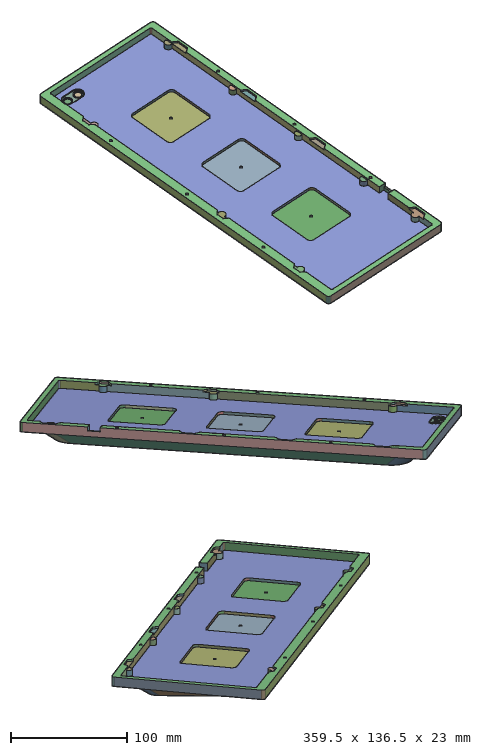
import cadquery as cq

length = 359.5
width = 136.5
plate_thickness = 8.5
plate_corner_radius = 3.0

side_rim = 5.0
back_rim = 7.2
front_rim = 8.5
pocket_depth = 7.2
pocket_corner_radius = 1.5
pocket_length = length - 2 * side_rim
pocket_back = width / 2 - back_rim
pocket_front = -width / 2 + front_rim

total_height = 23.0
wedge_depth = total_height - plate_thickness
wedge_length = 343.0
wedge_back = 60.5
wedge_front = -67.5
wedge_edge_radius = 25.0

pad_size = 50.5
pad_pitch = 87.0
pad_depth = 2.5
pad_corner_radius = 4.3
pad_hole_depth = 3.5
pad_center_y = 0.5

small_hole_diameter = 2.5
rim_hole_pitch = 94.5
rim_hole_y = 64.2

ledge_depth = 1.8
boss_radius = 3.5
back_boss_reach = 4.5
front_boss_reach = 4.0
back_boss_x = [-152.0, -72.0, 9.5, 90.3, 154.3]
front_boss_x = [-120.5, 38.0, 135.5]
back_clip_width = 18.0
back_clip_reach = 4.5
front_clip_width = 14.5
front_clip_reach = 4.0
clip_flank_run = 3.2
back_clip_x = [-140.2, -54.5, 31.0, 154.3]
front_clip_x = [-126.2, 40.3, 135.5]

cable_notch_x = 114.0
cable_notch_width = 11.0
cable_notch_lip = 1.8
cable_notch_lip_drop = 3.5

slot_x = -163.5
slot_y = -43.0
slot_length = 23.0
slot_width = 11.5
slot_depth = 1.0
socket_radius = 4.3
socket_depth = 1.8
socket_bore_radius = 3.2
socket_bore_depth = 2.0
socket_offset = 6.0


def block(x_range, y_range, z_range):
    """Axis-aligned box from its limits along each axis."""
    sizes = [high - low for low, high in (x_range, y_range, z_range)]
    corner = (x_range[0], y_range[0], z_range[0])
    return cq.Workplane("XY").box(*sizes, centered=False).translate(corner)


def cylinders(points, radius, bottom, top):
    """Upright cylinders at the given XY points."""
    base = cq.Workplane("XY", origin=(0, 0, bottom))
    return base.pushPoints(points).circle(radius).extrude(top - bottom)


def make_plate():
    plate = block((-length / 2, length / 2), (-width / 2, width / 2), (-plate_thickness, 0))
    return plate.edges("|Z").fillet(plate_corner_radius)


def make_wedge():
    wedge = (
        cq.Workplane("YZ", origin=(-wedge_length / 2, 0, 0))
        .moveTo(wedge_front, -plate_thickness)
        .lineTo(wedge_back, -plate_thickness)
        .lineTo(wedge_back - wedge_depth, -total_height)
        .close()
        .extrude(wedge_length)
    )
    sides = (
        cq.Workplane("XZ", origin=(0, width / 2, 0))
        .moveTo(-wedge_length / 2, -plate_thickness)
        .lineTo(wedge_length / 2, -plate_thickness)
        .lineTo(wedge_length / 2 - wedge_depth, -total_height)
        .lineTo(-wedge_length / 2 + wedge_depth, -total_height)
        .close()
        .extrude(width)
    )
    wedge = wedge.intersect(sides)
    for side in (-1, 1):
        corner_edge_middle = (
            side * (wedge_length - wedge_depth) / 2,
            wedge_back - wedge_depth / 2,
            -plate_thickness - wedge_depth / 2,
        )
        corner_edge = cq.selectors.NearestToPointSelector(corner_edge_middle)
        wedge = wedge.edges(corner_edge).fillet(wedge_edge_radius)
    return wedge


def make_pocket():
    pocket = block(
        (-pocket_length / 2, pocket_length / 2), (pocket_front, pocket_back), (-pocket_depth, 0)
    )
    return pocket.edges("|Z").fillet(pocket_corner_radius)


def make_bosses():
    back = [(x, pocket_back - back_boss_reach + boss_radius) for x in back_boss_x]
    front = [(x, pocket_front + front_boss_reach - boss_radius) for x in front_boss_x]
    return cylinders(back + front, boss_radius, -pocket_depth, -ledge_depth)


def make_clip_notches(x_places, wall_y, notch_width, reach):
    """Trapezoids cut from a pocket wall into the rim; a negative reach points toward -Y."""
    half_width = notch_width / 2
    outline = [
        (-half_width, 0),
        (-half_width + clip_flank_run, reach),
        (half_width - clip_flank_run, reach),
        (half_width, 0),
    ]
    notches = cq.Workplane("XY")
    for x in x_places:
        base = cq.Workplane("XY", origin=(x, wall_y, -ledge_depth))
        notches = notches.union(base.polyline(outline).close().extrude(ledge_depth))
    return notches


def make_pads():
    floor = cq.Workplane("XY", origin=(0, pad_center_y, -pocket_depth))
    centers = [(i * pad_pitch, 0) for i in (-1, 0, 1)]
    pads = floor.pushPoints(centers).rect(pad_size, pad_size).extrude(-pad_depth)
    pads = pads.edges("|Z").fillet(pad_corner_radius)
    holes = floor.pushPoints(centers).circle(small_hole_diameter / 2)
    return pads.union(holes.extrude(-pad_depth - pad_hole_depth))


def make_rim_holes():
    points = [(i * rim_hole_pitch, side * rim_hole_y) for i in (-1, 0, 1) for side in (-1, 1)]
    return cylinders(points, small_hole_diameter / 2, -total_height, 0)


def make_cable_notch():
    x_range = (cable_notch_x - cable_notch_width / 2, cable_notch_x + cable_notch_width / 2)
    inner = block(x_range, (pocket_back, width / 2 - cable_notch_lip), (-pocket_depth, 0))
    opening = block(x_range, (pocket_back, width / 2), (-cable_notch_lip_drop, 0))
    return inner.union(opening)


def make_slot():
    floor = cq.Workplane("XY", origin=(slot_x, slot_y, -pocket_depth))
    slot = floor.slot2D(slot_length, slot_width, 90).extrude(-slot_depth)
    sockets = floor.pushPoints([(0, -socket_offset), (0, socket_offset)])
    slot = slot.union(sockets.circle(socket_radius).extrude(-socket_depth))
    return slot.union(sockets.circle(socket_bore_radius).extrude(-socket_bore_depth))


back_clips = make_clip_notches(back_clip_x, pocket_back, back_clip_width, back_clip_reach)
front_clips = make_clip_notches(front_clip_x, pocket_front, front_clip_width, -front_clip_reach)

result = make_plate().union(make_wedge())
result = result.cut(make_pocket()).union(make_bosses()).cut(back_clips).cut(front_clips)
result = result.cut(make_pads()).cut(make_rim_holes()).cut(make_cable_notch()).cut(make_slot())